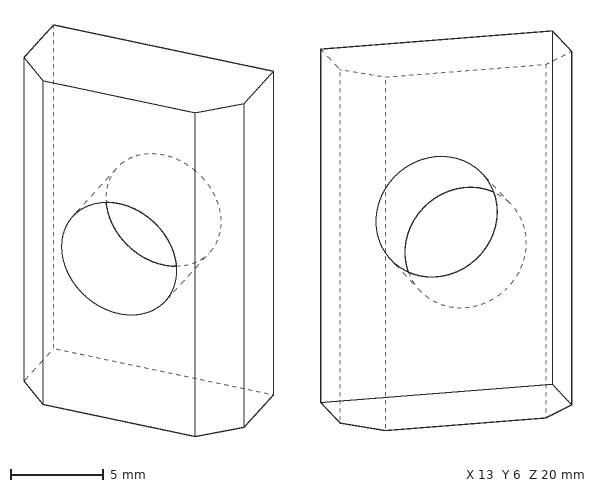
import cadquery as cq

width = 13.0
depth = 6.0
height = 20.0

bevel = 2.0

hole_diameter = 6.8

block = cq.Workplane("XY").box(width, depth, height)
beveled_block = block.faces("<Y").edges("|Z").chamfer(bevel)
result = beveled_block.faces("<Y").workplane(centerOption="CenterOfBoundBox").hole(hole_diameter)